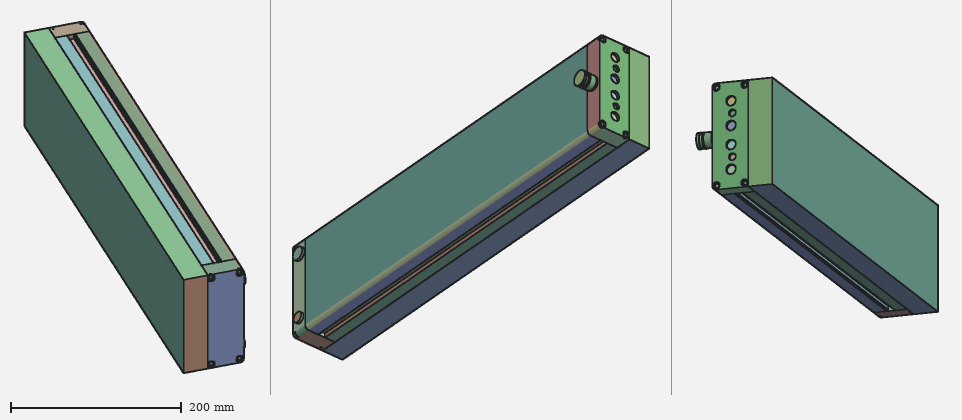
import cadquery as cq

LENGTH = 568.0
HEIGHT = 130.0
TOTAL_DEPTH = 96.0
FRONT_DEPTH = 30.0
BACK_FACE_Y = 75.0
CAP_WIDTH = 23.0
BACK_EDGE_RADIUS = 5.0

GROOVE_CENTRE_Y = 49.5
GROOVE_WIDTH = 8.5
GROOVE_DEPTH = 6.0
LIP_WIDTH = 1.5
LIP_DEPTH = 1.5

PORT_Y = 51.5
PORT_DIAMETER = 12.0
PORT_DEPTH = 3.5
PORT_PITCH = 30.0
SMALL_PORT_Y = 50.0
SMALL_PORT_DIAMETER = 8.5
PORT_GROUP_Z = 26.5

SCREW_INSET = 5.0
FRONT_SCREW_INSET = 4.5
SCREW_RECESS_DIAMETER = 8.5
SCREW_RECESS_DEPTH = 3.5
SCREW_HEAD_DIAMETER = 5.0
SCREW_HEAD_HEIGHT = 1.5

CONNECTOR_X = 12.0
CONNECTOR_DIAMETER = 20.0
CONNECTOR_BODY_DIAMETER = 19.5
CONNECTOR_NECK_DIAMETER = 17.0
CONNECTOR_BODY_START = 2.0
CONNECTOR_BODY_END = 13.5
CONNECTOR_RIM_WIDTH = 3.5
CONNECTOR_COLLAR_WIDTH = 1.5

COVER_INSET = 12.5
COVER_HEIGHT = 3.5
UPPER_COVER_DIAMETER = 17.5
UPPER_COVER_Z = 45.5
LOWER_COVER_DIAMETER = 14.0
LOWER_COVER_Z = -45.0


def block(x_start, x_end, y_start, y_end, z_start, z_end):
    """Box between the given limits."""
    size = (x_end - x_start, y_end - y_start, z_end - z_start)
    return cq.Workplane("XY").box(*size, centered=False).translate((x_start, y_start, z_start))


def rear_section(x_start, x_end):
    """Stretch of the rear housing with rounded back edges."""
    section = block(x_start, x_end, FRONT_DEPTH, BACK_FACE_Y, -HEIGHT / 2, HEIGHT / 2)
    return section.edges("|X and >Y").fillet(BACK_EDGE_RADIUS)


def x_disc(x_start, y, z, diameter, thickness):
    """Disc with its axis along X, growing toward +X."""
    return cq.Workplane("YZ", origin=(x_start, y, z)).circle(diameter / 2).extrude(thickness)


def back_disc(x, z, diameter, start, end):
    """Disc with its axis along Y, at distances start to end behind the back face."""
    plane = cq.Workplane("XZ", origin=(x, BACK_FACE_Y + start, z))
    return plane.circle(diameter / 2).extrude(start - end)


def make_front_block():
    return block(0, LENGTH, 0, FRONT_DEPTH, -HEIGHT / 2, HEIGHT / 2)


def make_profile():
    x_start = CAP_WIDTH
    x_end = LENGTH - CAP_WIDTH
    profile = rear_section(x_start, x_end)
    groove_start = GROOVE_CENTRE_Y - GROOVE_WIDTH / 2
    groove_end = GROOVE_CENTRE_Y + GROOVE_WIDTH / 2
    top = HEIGHT / 2
    groove = block(x_start, x_end, groove_start, groove_end, top - GROOVE_DEPTH, top)
    lip = block(x_start, x_end, groove_end, groove_end + LIP_WIDTH, top - LIP_DEPTH, top)
    for cut in (groove, lip):
        profile = profile.cut(cut).cut(cut.mirror("XY"))
    return profile


def make_plain_cap():
    """Left-end cap with a screw sunk in each corner of its outer face."""
    cap = rear_section(0, CAP_WIDTH)
    head_start = SCREW_RECESS_DEPTH - SCREW_HEAD_HEIGHT
    for y in (FRONT_DEPTH + FRONT_SCREW_INSET, BACK_FACE_Y - SCREW_INSET):
        for z in (SCREW_INSET - HEIGHT / 2, HEIGHT / 2 - SCREW_INSET):
            cap = cap.cut(x_disc(0, y, z, SCREW_RECESS_DIAMETER, SCREW_RECESS_DEPTH))
            cap = cap.union(x_disc(head_start, y, z, SCREW_HEAD_DIAMETER, SCREW_HEAD_HEIGHT))
    return cap


def make_connector():
    length = TOTAL_DEPTH - BACK_FACE_Y
    neck = back_disc(CONNECTOR_X, 0, CONNECTOR_NECK_DIAMETER, 0, length)
    body = back_disc(CONNECTOR_X, 0, CONNECTOR_BODY_DIAMETER, CONNECTOR_BODY_START, CONNECTOR_BODY_END)
    collar_start = CONNECTOR_BODY_END - CONNECTOR_COLLAR_WIDTH
    collar = back_disc(CONNECTOR_X, 0, CONNECTOR_DIAMETER, collar_start, CONNECTOR_BODY_END)
    rim = back_disc(CONNECTOR_X, 0, CONNECTOR_DIAMETER, length - CONNECTOR_RIM_WIDTH, length)
    return neck.union(body).union(collar).union(rim)


def make_left_cap():
    cap = make_plain_cap()
    for group_z in (-PORT_GROUP_Z, PORT_GROUP_Z):
        for z in (group_z - PORT_PITCH / 2, group_z + PORT_PITCH / 2):
            cap = cap.cut(x_disc(0, PORT_Y, z, PORT_DIAMETER, PORT_DEPTH))
        cap = cap.cut(x_disc(0, SMALL_PORT_Y, group_z, SMALL_PORT_DIAMETER, PORT_DEPTH))
    return cap.union(make_connector())


def make_right_cap():
    cap = make_plain_cap().mirror("YZ").translate((LENGTH, 0, 0))
    cover_x = LENGTH - COVER_INSET
    upper_cover = back_disc(cover_x, UPPER_COVER_Z, UPPER_COVER_DIAMETER, 0, COVER_HEIGHT)
    lower_cover = back_disc(cover_x, LOWER_COVER_Z, LOWER_COVER_DIAMETER, 0, COVER_HEIGHT)
    return cap.union(upper_cover).union(lower_cover)


front_block = make_front_block()
profile = make_profile()
left_cap = make_left_cap()
right_cap = make_right_cap()

result = cq.Compound.makeCompound([front_block.val(), profile.val(), left_cap.val(), right_cap.val()])